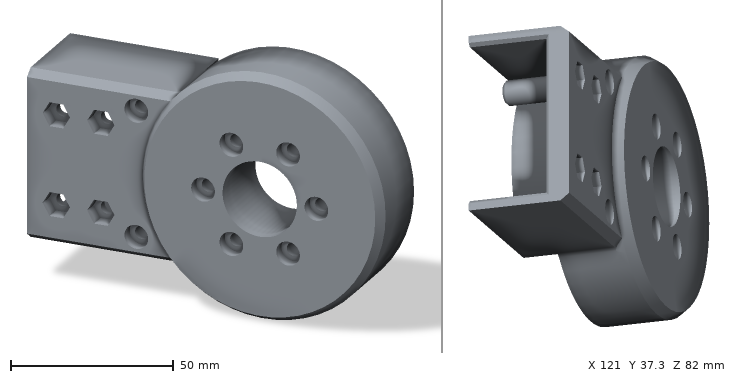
import cadquery as cq
import math

total_length = 121.0
disc_diameter = 82.0
disc_radius = disc_diameter / 2
disc_x = total_length - disc_radius
disc_depth = 24.9
bevel_depth = 3.3
bevel_width = 2.0
bore_diameter = 25.0

bracket_front = bevel_depth
bracket_back = 36.2
bracket_length = 50.1
half_height = 28.3
corner_depth = 2.9
corner_height = 2.2
corner_back = bracket_front + corner_depth
web_back = 11.1
flange_thickness = 3.4
pocket_half_height = half_height - flange_thickness
mouth_chamfer = 1.1
blend_radius = 2.8

hole_diameter = 4.4
head_diameter = 8.0
head_depth = 4.0
bolt_circle_radius = 19.1
bolt_count = 6
nut_across_flats = 8.0
nut_depth = 5.0
nut_sides = 6
nut_columns = (9.9, 24.9)
nut_z = 15.0
post_x = 36.9
post_z = 21.0
post_diameter = 8.0
post_tip_y = 37.3
post_tip_chamfer = 1.0


def section_at(y):
    """XZ sketch plane at depth y; positive extrusions run toward -Y."""
    return cq.Workplane("XZ", origin=(0, y, 0))


def cylinder(x, z, diameter, start, end):
    return section_at(start).center(x, z).circle(diameter / 2).extrude(start - end)


def make_disc():
    disc = cylinder(disc_x, 0, disc_diameter, 0, disc_depth)
    return disc.faces("<Y").chamfer(bevel_depth, bevel_width)


def make_bracket():
    """Channel block with bevelled corners, filled up behind the disc wall."""
    outline = [
        (bracket_back, half_height),
        (corner_back, half_height),
        (bracket_front, half_height - corner_height),
        (bracket_front, corner_height - half_height),
        (corner_back, -half_height),
        (bracket_back, -half_height),
    ]
    block = cq.Workplane("YZ").polyline(outline).close().extrude(bracket_length)
    return block.cut(make_pocket())


def pocket_section(x, widening):
    """Pocket outline at distance x, with its floor and sides moved outward by widening."""
    floor = web_back - widening
    half = pocket_half_height + widening
    return cq.Workplane("YZ", origin=(x, 0, 0)).polyline(
        [(floor, -half), (bracket_back, -half), (bracket_back, half), (floor, half)]
    ).close()


def make_pocket():
    """Pocket with a chamfered mouth, ending at the round wall that continues the disc."""
    mouth = cq.Workplane(cq.Solid.makeLoft([
        pocket_section(0, mouth_chamfer).val(),
        pocket_section(mouth_chamfer, 0).val(),
    ], True))
    straight = pocket_section(mouth_chamfer, 0).extrude(bracket_length - mouth_chamfer)
    disc_wall = cylinder(disc_x, 0, disc_diameter, 0, bracket_back)
    return mouth.union(straight).cut(disc_wall)


def blend_section(y, drop):
    """Concave corner between the flange top and the disc wall, lowered by drop."""
    arc_z = half_height + blend_radius
    arc_reach = disc_radius + blend_radius
    angle = math.asin(arc_z / arc_reach)
    arc_x = disc_x - arc_reach * math.cos(angle)
    disc_touch = (disc_x - disc_radius * math.cos(angle), disc_radius * math.sin(angle) - drop)
    middle_angle = (angle + math.pi / 2) / 2
    arc_middle = (
        arc_x + blend_radius * math.cos(middle_angle),
        arc_z - blend_radius * math.sin(middle_angle) - drop,
    )
    root_z = half_height - flange_thickness / 2 - drop
    return (
        section_at(y)
        .moveTo(arc_x, half_height - drop)
        .threePointArc(arc_middle, disc_touch)
        .lineTo(disc_touch[0], root_z)
        .lineTo(arc_x, root_z)
        .close()
    )


def make_blend():
    straight = blend_section(corner_back, 0).extrude(corner_back - disc_depth)
    bevelled = cq.Workplane(cq.Solid.makeLoft([
        blend_section(bracket_front, corner_height).val(),
        blend_section(corner_back, 0).val(),
    ], True))
    return straight.union(bevelled)


def make_post(z):
    post = cylinder(post_x, z, post_diameter, bracket_front, post_tip_y)
    return post.faces(">Y").chamfer(post_tip_chamfer)


def make_screw_hole(x, z, front):
    head = cylinder(x, z, head_diameter, front, front + head_depth)
    return head.union(cylinder(x, z, hole_diameter, front, post_tip_y))


def make_nut_hole(x, z):
    across_corners = nut_across_flats / math.cos(math.pi / nut_sides)
    nut = section_at(bracket_front).center(x, z).polygon(nut_sides, across_corners).extrude(-nut_depth)
    return nut.union(cylinder(x, z, hole_diameter, bracket_front, bracket_back))


blend = make_blend()
result = make_disc().union(make_bracket()).union(blend).union(blend.mirror("XY"))
for side in (-1, 1):
    result = result.union(make_post(side * post_z))

result = result.cut(cylinder(disc_x, 0, bore_diameter, 0, bracket_back))
for index in range(bolt_count):
    bolt_angle = index * 2 * math.pi / bolt_count
    bolt_x = disc_x + bolt_circle_radius * math.cos(bolt_angle)
    bolt_z = bolt_circle_radius * math.sin(bolt_angle)
    result = result.cut(make_screw_hole(bolt_x, bolt_z, 0))

for side in (-1, 1):
    result = result.cut(make_screw_hole(post_x, side * post_z, bracket_front))
    for nut_x in nut_columns:
        result = result.cut(make_nut_hole(nut_x, side * nut_z))